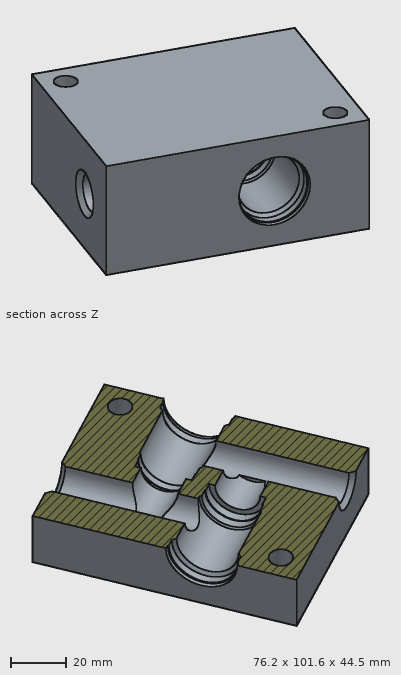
import cadquery as cq

width = 76.2
length = 101.6
height = 44.5

mount_diameter = 8.7
mount_inset = 9.5

port_x = 15.8
port_radius = 7.0
countersink_radius = 8.9
countersink_depth = 2.0

cavity_y = 14.2
mouth_radius = 13.7
lead_in_radius = 13.5
lead_in_depth = 1.5
recess_radius = 13.2
recess_start = 1.8
recess_end = 5.0
thread_radius = 11.9
thread_end = 30.5
guide_radius = 11.2
guide_end = 34.5
pilot_radius = 10.9
pilot_end = width / 2
nose_radius = 8.6

left_face = -width / 2
front_face = -length / 2


def mounting_holes():
    """Two through holes at diagonally opposite corners."""
    hole_x = width / 2 - mount_inset
    hole_y = length / 2 - mount_inset
    corners = [(-hole_x, -hole_y), (hole_x, hole_y)]
    plane = cq.Workplane("XY").pushPoints(corners)
    return plane.circle(mount_diameter / 2).extrude(height / 2, both=True)


def cavity():
    """Cavity from the -X face; its nose ends flat on the axis of the crossing port."""
    nose_depth = port_x - left_face
    thread_start = recess_end + recess_radius - thread_radius
    guide_start = thread_end + thread_radius - guide_radius
    profile = [
        (0, 0),
        (0, mouth_radius),
        (lead_in_depth, lead_in_radius),
        (recess_start, recess_radius),
        (recess_end, recess_radius),
        (thread_start, thread_radius),
        (thread_end, thread_radius),
        (guide_start, guide_radius),
        (guide_end, guide_radius),
        (guide_end, pilot_radius),
        (pilot_end, pilot_radius),
        (pilot_end, nose_radius),
        (nose_depth, nose_radius),
        (nose_depth, 0),
    ]
    plane = cq.Workplane("XY", origin=(left_face, -cavity_y, 0))
    return plane.polyline(profile).close().revolve(360, (0, 0, 0), (1, 0, 0))


def port():
    """Port from the -Y face; it crosses the near cavity's nose and ends on the far cavity's axis."""
    port_depth = cavity_y - front_face
    profile = [
        (0, 0),
        (countersink_radius, 0),
        (port_radius, countersink_depth),
        (port_radius, port_depth),
        (0, port_depth),
    ]
    plane = cq.Workplane("XY", origin=(port_x, front_face, 0))
    return plane.polyline(profile).close().revolve(360, (0, 0, 0), (0, 1, 0))


result = cq.Workplane("XY").box(width, length, height).cut(mounting_holes())

for turn in (0, 180):
    for drilling in (cavity(), port()):
        result = result.cut(drilling.rotate((0, 0, 0), (0, 0, 1), turn))